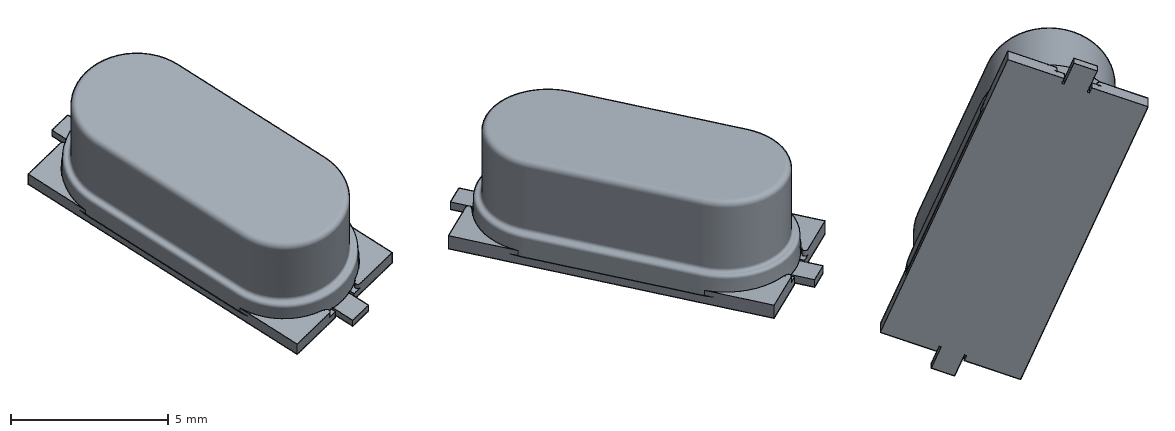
import cadquery as cq

BASE_LENGTH = 11.0
BASE_WIDTH = 4.8
BASE_TOP = 0.52
SEAT_HEIGHT = 0.3

ARC_CENTRE_SPACING = 6.0
FLANGE_BOTTOM_RADIUS = 2.385
FLANGE_TOP_RADIUS = 2.365
FLANGE_EDGE_ROUND = 0.11
FLANGE_TOP = 1.11
SEAT_CLEARANCE = 0.02
CAN_RADIUS = 2.1
CAN_FOOT_ROUND = 0.11
CAN_TOP = 3.81
CAN_TOP_ROUND = 0.19

LEAD_SPAN = 12.3
LEAD_WIDTH = 0.8
LEAD_GAP = 0.07
LEAD_GAP_DEPTH = 0.2
NOTCH_HALF_WIDTH = 0.68
NOTCH_WALL_ROUND = 0.1
NOTCH_DEPTH = 0.5

SELECTION_MARGIN = 0.005
END_SIGNS = (-1, 1)


def racetrack(radius, height):
    """Workplane at the given height holding a racetrack wire."""
    return cq.Workplane("XY").workplane(offset=height).slot2D(
        ARC_CENTRE_SPACING + 2 * radius, 2 * radius
    )


def make_flange():
    """Slightly tapered flange, rounded along its top edge."""
    return (
        racetrack(FLANGE_BOTTOM_RADIUS, SEAT_HEIGHT)
        .workplane(offset=FLANGE_TOP - SEAT_HEIGHT)
        .slot2D(ARC_CENTRE_SPACING + 2 * FLANGE_TOP_RADIUS, 2 * FLANGE_TOP_RADIUS)
        .loft(ruled=True)
        .faces(">Z")
        .edges()
        .fillet(FLANGE_EDGE_ROUND)
    )


def make_can():
    """Straight-sided can with a rounded top edge."""
    return (
        racetrack(CAN_RADIUS, SEAT_HEIGHT)
        .extrude(CAN_TOP - SEAT_HEIGHT)
        .faces(">Z")
        .edges()
        .fillet(CAN_TOP_ROUND)
    )


def make_cover():
    """Can and flange in one piece, with a concave round where they meet."""
    half_length = ARC_CENTRE_SPACING / 2 + CAN_RADIUS + SELECTION_MARGIN
    half_width = CAN_RADIUS + SELECTION_MARGIN
    foot_edges = cq.selectors.BoxSelector(
        (-half_length, -half_width, FLANGE_TOP - SELECTION_MARGIN),
        (half_length, half_width, FLANGE_TOP + SELECTION_MARGIN),
        boundingbox=True,
    )
    return make_flange().union(make_can()).edges(foot_edges).fillet(CAN_FOOT_ROUND)


def make_notch(end):
    """Cutter for the lead notch at one end (-1 or +1), with walls rounded convexly."""
    face_x = end * BASE_LENGTH / 2
    tip_x = face_x - end * NOTCH_WALL_ROUND
    wall_end_x = face_x - end * 2 * NOTCH_WALL_ROUND
    inner_x = face_x - end * NOTCH_DEPTH
    wide = NOTCH_HALF_WIDTH + NOTCH_WALL_ROUND
    return (
        cq.Workplane("XY")
        .workplane(offset=SEAT_HEIGHT)
        .moveTo(face_x, -wide)
        .threePointArc((tip_x, -NOTCH_HALF_WIDTH), (wall_end_x, -wide))
        .lineTo(inner_x, -wide)
        .lineTo(inner_x, wide)
        .lineTo(wall_end_x, wide)
        .threePointArc((tip_x, NOTCH_HALF_WIDTH), (face_x, wide))
        .close()
        .extrude(BASE_TOP - SEAT_HEIGHT)
    )


def make_lead_gaps(end):
    """Cutter for the two narrow gaps beside the lead at one end."""
    return (
        cq.Workplane("XY")
        .center(end * (BASE_LENGTH - LEAD_GAP_DEPTH) / 2, 0)
        .rect(LEAD_GAP_DEPTH, LEAD_WIDTH + 2 * LEAD_GAP)
        .extrude(SEAT_HEIGHT)
    )


def make_base():
    """Plate with a racetrack seat for the flange, notched at both ends where the leads emerge."""
    plate = cq.Workplane("XY").rect(BASE_LENGTH, BASE_WIDTH).extrude(BASE_TOP)
    seat = racetrack(FLANGE_BOTTOM_RADIUS + SEAT_CLEARANCE, SEAT_HEIGHT).extrude(BASE_TOP - SEAT_HEIGHT)
    base = plate.cut(seat)
    for end in END_SIGNS:
        base = base.cut(make_notch(end)).cut(make_lead_gaps(end))
    leads = cq.Workplane("XY").rect(LEAD_SPAN, LEAD_WIDTH).extrude(SEAT_HEIGHT)
    return base.union(leads)


result = make_base().union(make_cover())